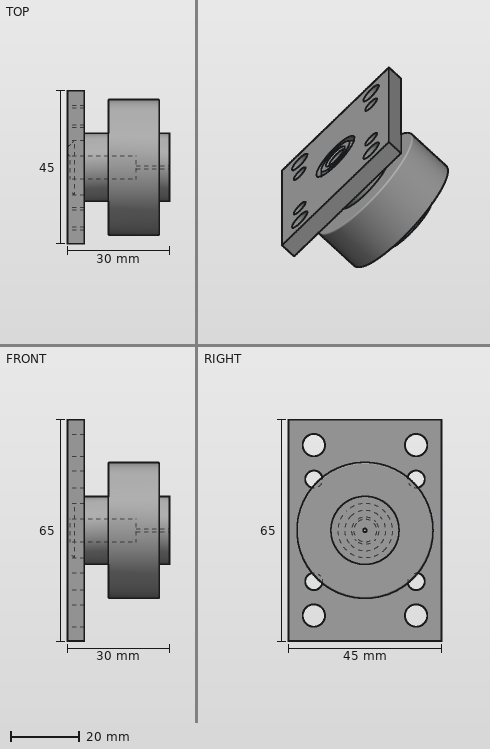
import cadquery as cq

plate_thickness = 5.0
plate_width = 45.0
plate_height = 65.0
hole_y = 15.0
large_hole_diameter = 6.5
large_hole_z = 25.0
small_hole_diameter = 5.0
small_hole_z = hole_y

total_length = 30.0
hub_diameter = 20.0
roller_diameter = 40.0
roller_start = 12.0
roller_width = 15.0
roller_edge_radius = 0.5
stud_diameter = 16.0
stud_chamfer = 2.0

bore_diameter = 6.7
bore_mouth_diameter = 8.0
bore_depth = 20.0
vent_diameter = 1.0


def cylinder(diameter, start, length):
    """Cylinder about the X axis, from X = start towards +X."""
    return cq.Workplane("YZ", origin=(start, 0, 0)).circle(diameter / 2).extrude(length)


def drill_hole_rows(plate, diameter, z):
    """Drill four through holes, symmetric about both centre lines of the plate."""
    centres = [(side * hole_y, level * z) for side in (-1, 1) for level in (-1, 1)]
    holes = cq.Workplane("YZ").pushPoints(centres).circle(diameter / 2).extrude(plate_thickness)
    return plate.cut(holes)


def make_plate():
    plate = cq.Workplane("YZ").rect(plate_width, plate_height).extrude(plate_thickness)
    plate = drill_hole_rows(plate, large_hole_diameter, large_hole_z)
    plate = drill_hole_rows(plate, small_hole_diameter, small_hole_z)
    return plate.cut(cylinder(stud_diameter, 0, plate_thickness))


def make_bore():
    """Blind bore with a 45 degree countersink, continued by a fine vent hole."""
    bore = cylinder(bore_diameter, 0, bore_depth)
    countersink_depth = (bore_mouth_diameter - bore_diameter) / 2
    countersink = (
        cq.Workplane("YZ")
        .circle(bore_mouth_diameter / 2)
        .workplane(offset=countersink_depth)
        .circle(bore_diameter / 2)
        .loft()
    )
    return bore.union(countersink).union(cylinder(vent_diameter, 0, total_length))


def make_roller():
    stud = cylinder(stud_diameter, 0, plate_thickness).faces("<X").chamfer(stud_chamfer)
    hub = cylinder(hub_diameter, plate_thickness, total_length - plate_thickness)
    tread = cylinder(roller_diameter, roller_start, roller_width)
    tread = tread.edges("%CIRCLE").fillet(roller_edge_radius)
    return stud.union(hub).union(tread).cut(make_bore())


plate = make_plate()
roller = make_roller()

result = cq.Compound.makeCompound([plate.val(), roller.val()])